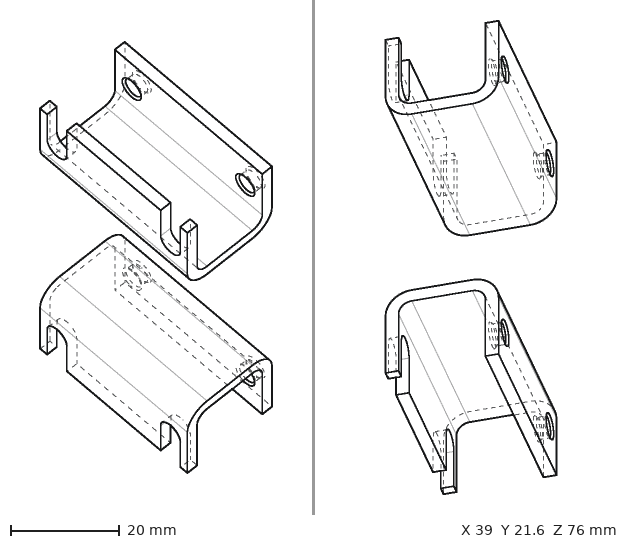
import cadquery as cq

total_height = 76.0
length = 39.0
width = 21.6
channel_height = 17.9

sheet = 2.5
outer_radius = 5.0
inner_radius = outer_radius - sheet

fixing_spacing = 30.0
fixing_depth = 8.0
slot_width = 5.2
hole_diameter = 4.1
countersink_diameter = 5.0

edge_z = total_height / 2
base_z = edge_z - channel_height
fixing_z = edge_z - fixing_depth
fixing_xs = [-fixing_spacing / 2, fixing_spacing / 2]
inner_wall_y = width / 2 - sheet


def channel_blank():
    """U-shaped sheet with rounded bends, open towards +Z."""
    outer = (
        cq.Workplane("XY")
        .box(length, width, channel_height, centered=(True, True, False))
        .edges("|X and <Z")
        .fillet(outer_radius)
    )
    inner = (
        cq.Workplane("XY", origin=(0, 0, sheet))
        .box(length, width - 2 * sheet, channel_height - sheet, centered=(True, True, False))
        .edges("|X and <Z")
        .fillet(inner_radius)
    )
    return outer.cut(inner).translate((0, 0, base_z))


def open_slot(x):
    """Round-bottomed slot through the -Y wall, open at its free edge."""
    plane = cq.Workplane("XZ", origin=(x, -inner_wall_y, fixing_z))
    round_end = plane.circle(slot_width / 2).extrude(sheet)
    straight = plane.center(0, fixing_depth / 2).rect(slot_width, fixing_depth).extrude(sheet)
    return round_end.union(straight)


def countersunk_hole(x):
    """Cutter for a hole through the +Y wall, chamfered at both faces."""
    hole_radius = hole_diameter / 2
    flare_radius = countersink_diameter / 2
    flare_depth = flare_radius - hole_radius
    half_profile = [
        (0, 0),
        (flare_radius, 0),
        (hole_radius, flare_depth),
        (hole_radius, sheet - flare_depth),
        (flare_radius, sheet),
        (0, sheet),
    ]
    return (
        cq.Workplane("XY", origin=(x, inner_wall_y, fixing_z))
        .polyline(half_profile)
        .close()
        .revolve(360, (0, 0), (0, 1))
    )


def make_channel():
    """Complete channel, in the upper position."""
    body = channel_blank()
    for x in fixing_xs:
        body = body.cut(open_slot(x)).cut(countersunk_hole(x))
    return body


upper_channel = make_channel()
lower_channel = upper_channel.mirror("XY")

result = cq.Compound.makeCompound([upper_channel.val(), lower_channel.val()])